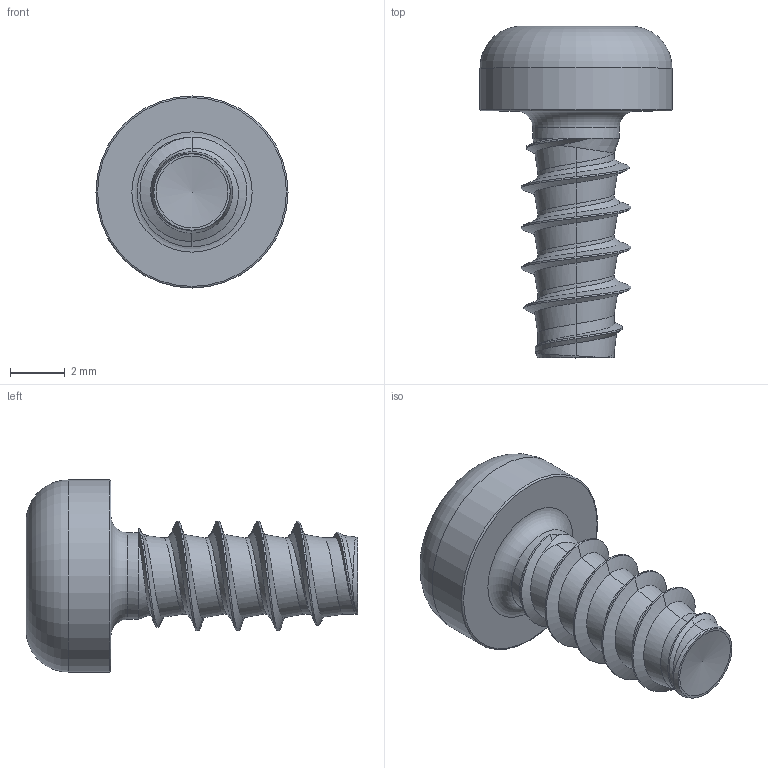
import cadquery as cq
import math


half_plane = cq.Plane(origin=(0, 0, 0), xDir=(0, 0, 1), normal=(-1, 0, 0))

head_radius = 3.5
head_height = 3.09
head_crown_radius = 1.53
head_rim_radius = 0.06

neck_radius = 1.58
neck_fillet = 0.61
neck_length = 1.0

shank_length = 9.0
core_radius = 1.39
core_taper_end = 1.55
tip_dent_radius = 1.305
tip_dent_depth = 0.15
tip_taper_length = 0.4
tip_taper_rise = 0.16

pitch = 1.46
thread_radius = 2.0
first_crest_radius = 1.74
first_crest_depth = 0.97
crest_half_width = 0.03
thread_root_depth = 0.6
upper_foot_offset = 0.375
upper_knee_offset = 0.18
upper_knee_radius = 1.6
lower_root_offset = 0.19
lower_root_radius = 1.52
swell_end_offset = 1.01
foot_radius = 1.38
root_sink_share = 0.12
spans_per_turn = 2
steps_per_span = 12

crest_course = [
    (first_crest_depth - pitch, core_radius),
    (first_crest_depth - pitch / 4, core_radius),
    (first_crest_depth, first_crest_radius),
    (first_crest_depth + pitch, thread_radius),
    (first_crest_depth + 4 * pitch, thread_radius),
    (shank_length, core_radius),
]


def make_body():
    """Head, neck and core, turned about the Y axis."""
    crown_start = head_height - head_crown_radius
    crown_centre_x = head_radius - head_crown_radius
    diagonal = math.sqrt(0.5)
    profile = (
        cq.Workplane(half_plane)
        .moveTo(0, -shank_length)
        .lineTo(core_radius, -shank_length)
        .lineTo(core_radius, -core_taper_end)
        .lineTo(neck_radius, -neck_length)
        .lineTo(neck_radius, -neck_fillet)
        .threePointArc(
            (
                neck_radius + neck_fillet * (1 - diagonal),
                -neck_fillet * (1 - diagonal),
            ),
            (neck_radius + neck_fillet, 0),
        )
        .lineTo(head_radius - head_rim_radius, 0)
        .threePointArc(
            (
                head_radius - head_rim_radius * (1 - diagonal),
                head_rim_radius * (1 - diagonal),
            ),
            (head_radius, head_rim_radius),
        )
        .lineTo(head_radius, crown_start)
        .threePointArc(
            (
                crown_centre_x + head_crown_radius * diagonal,
                crown_start + head_crown_radius * diagonal,
            ),
            (crown_centre_x, head_height),
        )
        .lineTo(0, head_height)
        .close()
    )
    return profile.revolve(360, (0, 0, 0), (0, 1, 0))


def crest_radius(depth):
    """Crest radius, linear between the entries of the crest course."""
    for (start, start_radius), (end, end_radius) in zip(crest_course, crest_course[1:]):
        if depth <= end:
            share = (depth - start) / (end - start)
            return start_radius + share * (end_radius - start_radius)
    return crest_course[-1][1]


def thread_section(turn):
    """Corners of the thread section after the given turns from +Z, in a half plane of the axis."""
    angle = 2 * math.pi * turn
    crest_depth = first_crest_depth + pitch * turn
    crest = crest_radius(crest_depth)
    sink = thread_radius - crest
    corners = [
        (-upper_foot_offset, thread_root_depth),
        (-upper_foot_offset, foot_radius - sink),
        (-upper_knee_offset, upper_knee_radius - sink),
        (-crest_half_width, crest),
        (crest_half_width, crest),
        (lower_root_offset, lower_root_radius - root_sink_share * sink),
        (swell_end_offset, foot_radius),
        (swell_end_offset, thread_root_depth),
    ]
    return [
        cq.Vector(-radius * math.sin(angle), -crest_depth - offset, radius * math.cos(angle))
        for offset, radius in corners
    ]


def make_thread():
    """Right-hand thread: ruled faces between helical edges, closed by two flat ends."""
    turns = math.ceil((shank_length - first_crest_depth) / pitch)
    shares = [step / steps_per_span for step in range(steps_per_span + 1)]
    faces = []
    for span in range(-spans_per_turn, turns * spans_per_turn):
        sections = [thread_section((span + share) / spans_per_turn) for share in shares]
        helices = [
            cq.Edge.makeSpline(list(points), parameters=shares) for points in zip(*sections)
        ]
        for helix, following in zip(helices, helices[1:] + helices[:1]):
            faces.append(cq.Face.makeRuledSurface(helix, following))
    for end in (thread_section(-1), thread_section(turns)):
        faces.append(cq.Face.makeFromWires(cq.Wire.makePolygon(end, close=True)))
    shell = cq.Shell.makeShell(faces)
    return cq.Workplane(obj=cq.Solid.makeSolid(shell).fix())


def make_thread_envelope():
    """Tube between neck and tip that trims the thread and tapers at the tip."""
    taper_start = -shank_length + tip_taper_length
    outer_radius = thread_radius + pitch
    bore_radius = (thread_root_depth + tip_dent_radius) / 2
    profile = (
        cq.Workplane(half_plane)
        .moveTo(bore_radius, -shank_length)
        .lineTo(core_radius, -shank_length)
        .lineTo(core_radius + tip_taper_rise, taper_start)
        .lineTo(outer_radius, taper_start)
        .lineTo(outer_radius, -neck_length)
        .lineTo(bore_radius, -neck_length)
        .close()
    )
    return profile.revolve(360, (0, 0, 0), (0, 1, 0))


def make_tip_dent():
    """Shallow cone sunk into the end of the shank."""
    profile = (
        cq.Workplane(half_plane)
        .moveTo(0, -shank_length)
        .lineTo(tip_dent_radius, -shank_length)
        .lineTo(0, -shank_length + tip_dent_depth)
        .close()
    )
    return profile.revolve(360, (0, 0, 0), (0, 1, 0))


thread = make_thread().intersect(make_thread_envelope())
result = make_body().union(thread).cut(make_tip_dent())